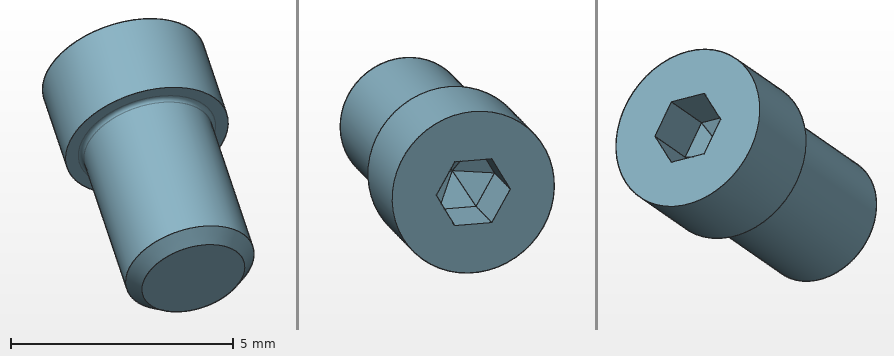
import cadquery as cq
import math

total_length = 6.0
head_length = total_length / 3
shank_diameter = total_length / 2
head_diameter = 3.8
tip_chamfer = 0.3
neck_fillet = 0.1

socket_sides = 6
socket_across_flats = 1.5
socket_wall_depth = 1.3
socket_point_angle = 120.0


def make_body():
    """Revolve the half profile of head and shank about the X axis."""
    head_radius = head_diameter / 2
    shank_radius = shank_diameter / 2
    neck_sag = neck_fillet * (1 - math.sqrt(0.5))
    return (
        cq.Workplane("XZ")
        .lineTo(0, head_radius)
        .lineTo(head_length, head_radius)
        .lineTo(head_length, shank_radius + neck_fillet)
        .threePointArc(
            (head_length + neck_sag, shank_radius + neck_sag),
            (head_length + neck_fillet, shank_radius),
        )
        .lineTo(total_length - tip_chamfer, shank_radius)
        .lineTo(total_length, shank_radius - tip_chamfer)
        .lineTo(total_length, 0)
        .close()
        .revolve(360, (0, 0), (1, 0))
    )


def socket_corners(x):
    """Corners of the hexagon at position x, with two corners on the Y axis."""
    side_angle = 2 * math.pi / socket_sides
    corner_radius = socket_across_flats / 2 / math.cos(side_angle / 2)
    angles = [side_angle * i for i in range(socket_sides)]
    return [cq.Vector(x, corner_radius * math.cos(a), corner_radius * math.sin(a)) for a in angles]


def make_socket():
    """Build the socket volume from its mouth, walls and pyramid facets."""
    point_height = socket_across_flats / 2 / math.tan(math.radians(socket_point_angle / 2))
    point = cq.Vector(socket_wall_depth + point_height, 0, 0)
    mouth = socket_corners(0)
    floor = socket_corners(socket_wall_depth)

    outlines = [mouth]
    for i in range(socket_sides):
        j = (i + 1) % socket_sides
        outlines.append([mouth[i], mouth[j], floor[j], floor[i]])
        outlines.append([floor[i], floor[j], point])

    faces = [cq.Face.makeFromWires(cq.Wire.makePolygon(corners, close=True)) for corners in outlines]
    return cq.Workplane(obj=cq.Solid.makeSolid(cq.Shell.makeShell(faces)))


result = make_body().cut(make_socket())